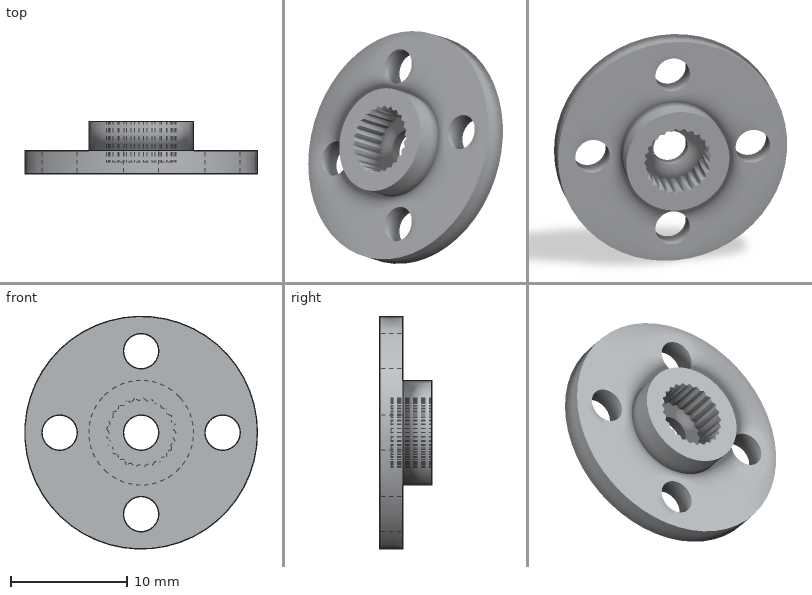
import cadquery as cq
import math

flange_diameter = 20.0
flange_thickness = 2.0

hub_diameter = 9.0
overall_depth = 4.5

hole_diameter = 3.0
mounting_hole_count = 4
mounting_circle_radius = 7.0

socket_floor = 1.0
tooth_count = 25
tooth_tip_radius = 2.75
tooth_root_radius = 3.0
first_root_angle = 0.0


def cylinder_along_y(diameter, start, end):
    """Solid cylinder on the Y axis between two Y positions."""
    plane = cq.Workplane("XZ", origin=(0, start, 0))
    return plane.circle(diameter / 2).extrude(start - end)


def make_body():
    flange = cylinder_along_y(flange_diameter, 0, flange_thickness)
    hub = cylinder_along_y(hub_diameter, 0, overall_depth)
    return flange.union(hub)


def make_screw_holes():
    """Centre hole plus the ring of mounting holes."""
    centre_hole = cylinder_along_y(hole_diameter, 0, overall_depth)
    mounting_holes = (
        cq.Workplane("XZ")
        .polarArray(mounting_circle_radius, 0, 360, mounting_hole_count)
        .circle(hole_diameter / 2)
        .extrude(-flange_thickness)
    )
    return centre_hole.union(mounting_holes)


def make_toothed_socket():
    """Serrated shaft socket: straight flanks joining alternate roots and tips."""
    half_pitch = math.pi / tooth_count
    corners = []
    for index in range(2 * tooth_count):
        radius = tooth_root_radius if index % 2 == 0 else tooth_tip_radius
        angle = math.radians(first_root_angle) + index * half_pitch
        corners.append((radius * math.cos(angle), radius * math.sin(angle)))
    plane = cq.Workplane("XZ", origin=(0, socket_floor, 0))
    return plane.polyline(corners).close().extrude(socket_floor - overall_depth)


result = make_body().cut(make_screw_holes()).cut(make_toothed_socket())